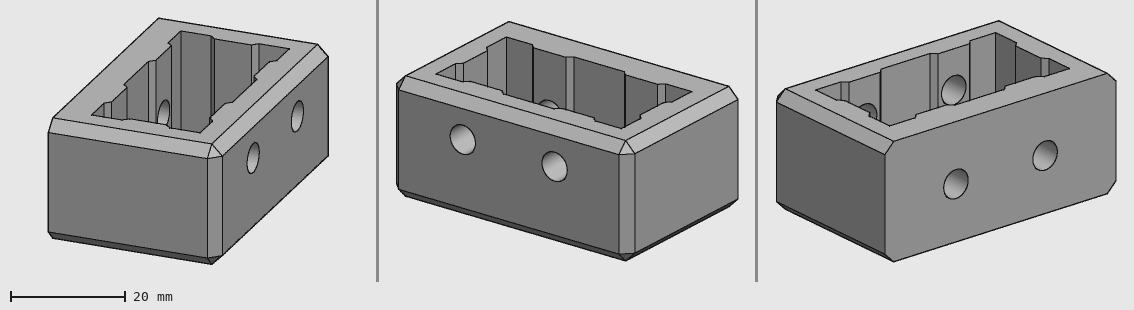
import cadquery as cq

WIDTH = 32.05
LENGTH = 51.92
HEIGHT = 22.85
WALL = 5.775
FLOOR = 3.0
POCKET_WIDTH = WIDTH - 2 * WALL
POCKET_LENGTH = LENGTH - 2 * WALL
POCKET_DEPTH = HEIGHT - FLOOR
EDGE_CHAMFER = 2.0

RIB_HEIGHT = 1.0
RIB_TOP = 7.0
RIB_BASE = RIB_TOP + 2 * RIB_HEIGHT

HOLE_DIAMETER = 5.5
PITCH = 20.0
NEAR_HOLE_Z = 11.0
HOLE_RISE = 4.0
FAR_HOLE_Z = NEAR_HOLE_Z + HOLE_RISE

PITCH_POSITIONS = (-PITCH / 2, PITCH / 2)
POCKET_CENTRE_X = WIDTH / 2


def make_block():
    """Box with every edge chamfered except those of the mounting face."""
    box = cq.Workplane("XY").box(WIDTH, LENGTH, HEIGHT, centered=(False, True, False))
    return box.edges("|X or >X").chamfer(EDGE_CHAMFER)


def make_pocket():
    """Rectangular pocket volume, open at the top."""
    return (
        cq.Workplane("XY", origin=(POCKET_CENTRE_X, 0, FLOOR))
        .rect(POCKET_WIDTH, POCKET_LENGTH)
        .extrude(POCKET_DEPTH)
    )


def make_rib(along_wall, wall_distance, turn):
    """Rib on the wall at wall_distance from the pocket centre, turned about the pocket axis."""
    outline = [
        (wall_distance, along_wall - RIB_BASE / 2),
        (wall_distance - RIB_HEIGHT, along_wall - RIB_TOP / 2),
        (wall_distance - RIB_HEIGHT, along_wall + RIB_TOP / 2),
        (wall_distance, along_wall + RIB_BASE / 2),
    ]
    rib = cq.Workplane("XY").polyline(outline).close().extrude(POCKET_DEPTH)
    turned = rib.rotate((0, 0, 0), (0, 0, 1), turn)
    return turned.translate((POCKET_CENTRE_X, 0, FLOOR))


def make_wall_holes(start_x, hole_z):
    """Pair of holes along X, running from start_x through half the block."""
    centres = [(y, hole_z) for y in PITCH_POSITIONS]
    return (
        cq.Workplane("YZ", origin=(start_x, 0, 0))
        .pushPoints(centres)
        .circle(HOLE_DIAMETER / 2)
        .extrude(WIDTH / 2)
    )


pocket = make_pocket()
for turn in (0, 180):
    for y in PITCH_POSITIONS:
        pocket = pocket.cut(make_rib(y, POCKET_WIDTH / 2, turn))
for turn in (90, 270):
    pocket = pocket.cut(make_rib(0, POCKET_LENGTH / 2, turn))

result = make_block().cut(pocket)
result = result.cut(make_wall_holes(0, NEAR_HOLE_Z))
result = result.cut(make_wall_holes(WIDTH / 2, FAR_HOLE_Z))